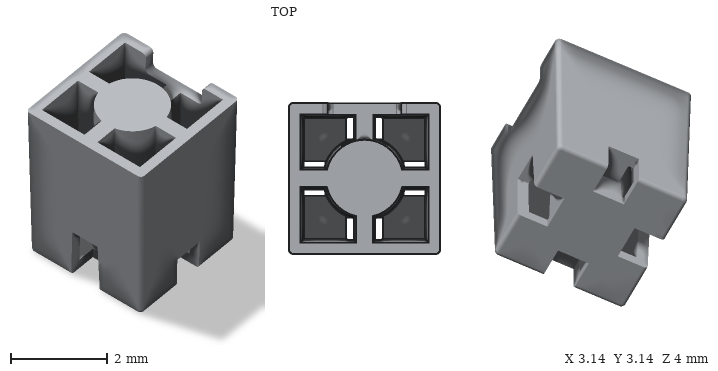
import cadquery as cq
import math

height = 4.0
top_side = 3.14
base_side = 3.015
corner_radius = 0.1
base_radius = 0.09

cavity_side = 2.665
floor_height = 0.25
wall_draft = 1.2
core_radius = 0.8
core_draft = 1.1
rib_thickness = 0.35
rib_draft = 1.0

slot_end = 0.815
y_slot_height = 1.25
y_slot_top_width = 0.69
y_slot_base_width = 0.775
y_slot_corner_radius = 0.025
x_slot_height = 0.755
x_slot_width = 0.71

notch_width = 1.53
notch_depth = 0.5
notch_radius = 0.105
notch_start = 0.4

half_top = top_side / 2
cavity_depth = height - floor_height


def drafted_rib(x_size, y_size):
    """A rib from the top face to the cavity floor; its sides spread with depth."""
    top = cq.Workplane("XY", origin=(0, 0, height)).rect(x_size, y_size)
    spread = 2 * cavity_depth * math.tan(math.radians(rib_draft))
    bottom = top.workplane(offset=-cavity_depth).rect(x_size + spread, y_size + spread)
    return bottom.loft(ruled=True)


def make_body():
    base = cq.Workplane("XY").rect(base_side, base_side)
    body = base.workplane(offset=height).rect(top_side, top_side).loft(ruled=True)
    side_edges = body.edges("not(<Z or >Z)")
    return side_edges.fillet(corner_radius).faces("<Z").edges().fillet(base_radius)


def make_core():
    core_base_radius = core_radius + cavity_depth * math.tan(math.radians(core_draft))
    return (
        cq.Workplane("XZ")
        .moveTo(0, floor_height)
        .lineTo(core_base_radius, floor_height)
        .lineTo(core_radius, height)
        .lineTo(0, height)
        .close()
        .revolve(360, (0, 0, 0), (0, 1, 0))
    )


def make_pockets(core):
    cavity = (
        cq.Workplane("XY", origin=(0, 0, height))
        .rect(cavity_side, cavity_side)
        .extrude(-cavity_depth, taper=wall_draft)
    )
    x_rib = drafted_rib(top_side, rib_thickness)
    y_rib = drafted_rib(rib_thickness, top_side)
    return cavity.cut(x_rib).cut(y_rib).cut(core)


def make_y_slot():
    """Slot through the -Y wall, narrowing upwards."""
    return (
        cq.Workplane("XZ", origin=(0, -slot_end, 0))
        .moveTo(-y_slot_base_width / 2, 0)
        .lineTo(y_slot_base_width / 2, 0)
        .lineTo(y_slot_top_width / 2, y_slot_height)
        .lineTo(-y_slot_top_width / 2, y_slot_height)
        .close()
        .extrude(half_top - slot_end)
        .faces(">Z")
        .edges("|Y")
        .fillet(y_slot_corner_radius)
    )


def make_x_slot():
    """Slot through the -X wall with parallel sides."""
    return cq.Workplane("XY").box(
        half_top - slot_end, x_slot_width, x_slot_height, centered=(False, True, False)
    ).translate((-half_top, 0, 0))


def make_notch(core):
    """Notch down to the core, rounded at its floor and flared at its mouth."""
    half_width = notch_width / 2
    mouth = half_width + notch_radius
    floor = height - notch_depth
    diagonal = notch_radius * math.sqrt(0.5)
    notch = (
        cq.Workplane("XZ", origin=(0, notch_start, 0))
        .moveTo(-mouth, height)
        .threePointArc(
            (-mouth + diagonal, height - notch_radius + diagonal),
            (-half_width, height - notch_radius),
        )
        .lineTo(-half_width, floor + notch_radius)
        .radiusArc((-half_width + notch_radius, floor), -notch_radius)
        .lineTo(half_width - notch_radius, floor)
        .radiusArc((half_width, floor + notch_radius), -notch_radius)
        .lineTo(half_width, height - notch_radius)
        .threePointArc(
            (mouth - diagonal, height - notch_radius + diagonal),
            (mouth, height),
        )
        .close()
        .extrude(notch_start - half_top)
    )
    return notch.cut(core)


core = make_core()
result = make_body().cut(make_pockets(core)).cut(make_notch(core))
for slot in (make_y_slot(), make_x_slot()):
    opposite_slot = slot.rotate((0, 0, 0), (0, 0, 1), 180)
    result = result.cut(slot).cut(opposite_slot)